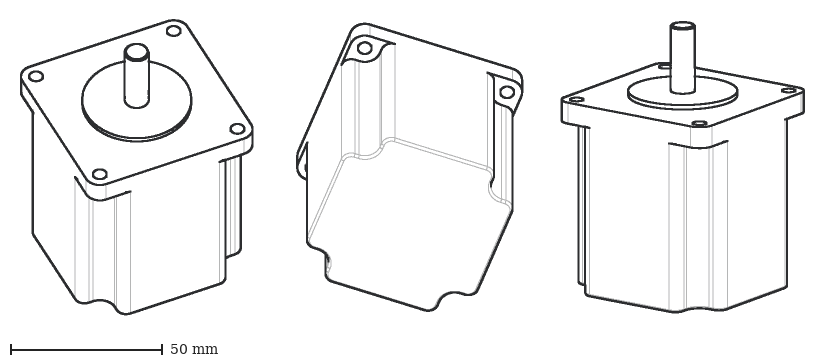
import cadquery as cq

side = 60.0
body_height = 57.85
flange_thickness = 7.2
flange_corner_radius = 5.0
bottom_edge_radius = 0.9

hole_diameter = 4.5
hole_spacing = 50.0

relief_depth = 10.3
lobe_radius = 3.5

pilot_diameter = 36.05
pilot_height = 1.5
shaft_diameter = 8.0
shaft_top = 89.0
shaft_chamfer = 0.45
flat_depth = 0.45
flat_clearance = 2.6

half_side = side / 2
flange_top = body_height + flange_thickness
pilot_top = flange_top + pilot_height


def corner_relief(x_sign, y_sign):
    """Square notch through one body corner, with a round inner edge."""
    hole_axis = hole_spacing / 2
    inner_radius = hole_axis - (half_side - relief_depth)
    notch = (
        cq.Workplane("XY")
        .center(x_sign * half_side, y_sign * half_side)
        .rect(2 * relief_depth, 2 * relief_depth)
        .extrude(body_height)
    )
    return notch.edges("|Z").fillet(inner_radius)


def make_body():
    body = cq.Workplane("XY").rect(side, side).extrude(body_height)
    for x_sign in (-1, 1):
        for y_sign in (-1, 1):
            body = body.cut(corner_relief(x_sign, y_sign))

    inner_region = cq.selectors.BoxSelector(
        (-half_side + lobe_radius, -half_side + lobe_radius, 0),
        (half_side - lobe_radius, half_side - lobe_radius, body_height),
    )
    lobe_edges = body.edges(cq.selectors.ParallelDirSelector(cq.Vector(0, 0, 1)) - inner_region)
    body = lobe_edges.fillet(lobe_radius)
    return body.faces("<Z").edges().fillet(bottom_edge_radius)


def make_flange():
    flange = (
        cq.Workplane("XY", origin=(0, 0, body_height))
        .rect(side, side)
        .extrude(flange_thickness)
        .edges("|Z")
        .fillet(flange_corner_radius)
    )
    return (
        flange.faces(">Z")
        .workplane()
        .rect(hole_spacing, hole_spacing, forConstruction=True)
        .vertices()
        .hole(hole_diameter)
    )


def make_pilot():
    return cq.Workplane("XY", origin=(0, 0, flange_top)).circle(pilot_diameter / 2).extrude(pilot_height)


def make_shaft():
    """Chamfered shaft with a flat on its +Y side, ending just above the pilot."""
    shaft = (
        cq.Workplane("XY", origin=(0, 0, flange_top))
        .circle(shaft_diameter / 2)
        .extrude(shaft_top - flange_top)
        .faces(">Z")
        .chamfer(shaft_chamfer)
    )
    flat_bottom = pilot_top + flat_clearance
    flat_cutter = cq.Workplane("XY").box(
        shaft_diameter, shaft_diameter, shaft_top - flat_bottom, centered=(True, False, False)
    )
    flat_position = (0, shaft_diameter / 2 - flat_depth, flat_bottom)
    return shaft.cut(flat_cutter.translate(flat_position))


result = make_body().union(make_flange()).union(make_pilot()).union(make_shaft())